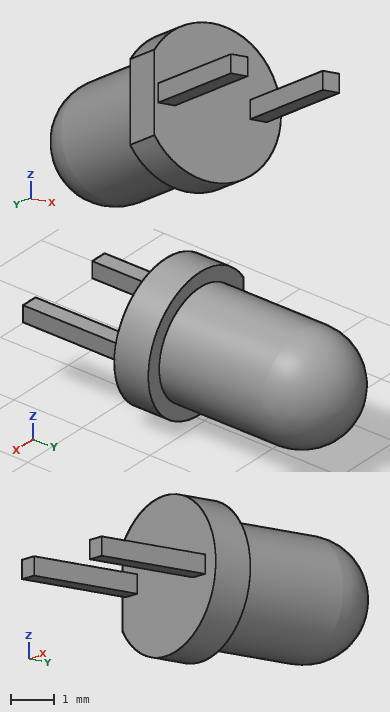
import cadquery as cq


lens_radius = 1.5
barrel_length = 3.0
flange_diameter = 3.8
flange_thickness = 1.0
flange_width = 3.5
flat_x = flange_diameter / 2 - flange_width

lead_length = 3.0
lead_side = 0.46
lead_pitch = 2.54


def make_lens():
    """Round barrel with a hemispherical end, revolved about the lamp axis."""
    dome_start = flange_thickness + barrel_length
    dome_tip = dome_start + lens_radius
    return (
        cq.Workplane("XY")
        .moveTo(0, flange_thickness)
        .lineTo(lens_radius, flange_thickness)
        .lineTo(lens_radius, dome_start)
        .radiusArc((0, dome_tip), -lens_radius)
        .close()
        .revolve(360, (0, 0, 0), (0, 1, 0))
    )


def make_flange():
    """Round flange trimmed by a flat on the -X side."""
    disc = cq.Workplane("XZ").circle(flange_diameter / 2).extrude(-flange_thickness)
    keep = (
        cq.Workplane("XZ")
        .center(flat_x + flange_width / 2, 0)
        .rect(flange_width, flange_diameter)
        .extrude(-flange_thickness)
    )
    return disc.intersect(keep)


def make_housing():
    """Flange and lens as one moulded body."""
    return make_flange().union(make_lens())


def make_lead(center_x):
    """Square lead running from the flange underside toward -Y."""
    return cq.Workplane("XZ").center(center_x, 0).rect(lead_side, lead_side).extrude(lead_length)


housing = make_housing()
leads = [make_lead(side * lead_pitch / 2) for side in (-1, 1)]

result = cq.Compound.makeCompound([housing.val(), *[lead.val() for lead in leads]])